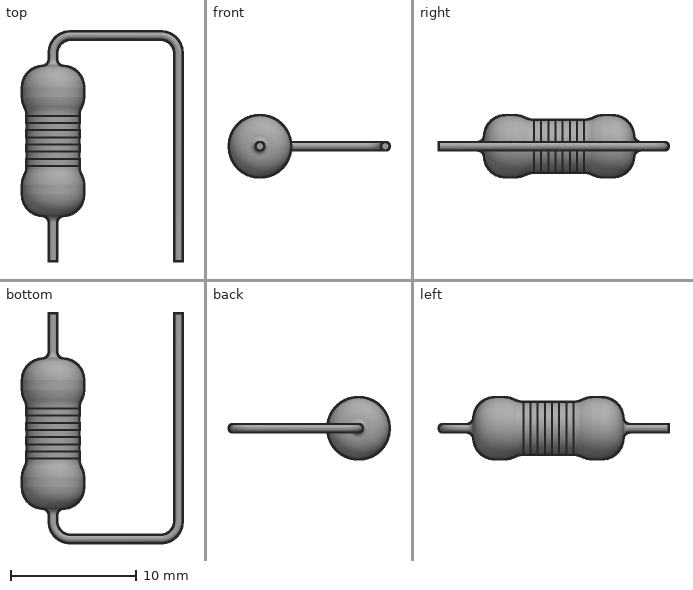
import cadquery as cq
import math


lead_diameter = 0.7
lead_radius = lead_diameter / 2
lead_pitch = 10.0
lead_tip_y = 0.0
bend_radius = 2 * lead_diameter
crossover_y = 18.0

body_length = 12.0
body_start_y = 3.6
body_mid_y = body_start_y + body_length / 2
cap_radius = 5.0 / 2
waist_radius = 4.25 / 2
end_round_radius = 1.75
lead_fillet_radius = 0.5

half_length = body_length / 2
half_waist = 2.0
half_cap_start = 3.5
half_cap_end = half_length - end_round_radius

band_count = 4
band_radius = 4.27 / 2
band_width = 2 * half_waist / (2 * band_count - 1)


def point_on_circle(center, radius, angle):
    """Point at an angle in radians, measured from the radial direction."""
    return (center[0] + radius * math.cos(angle), center[1] + radius * math.sin(angle))


def make_body_end():
    """Revolved +Y end of the body, from the waist out to the end of the lead fillet."""
    shoulder_rise = cap_radius - waist_radius
    shoulder_run = half_cap_start - half_waist
    shoulder_angle = 2 * math.atan(shoulder_rise / shoulder_run)
    shoulder_radius = shoulder_run / (2 * math.sin(shoulder_angle))
    concave_center = (waist_radius + shoulder_radius, half_waist)
    convex_center = (cap_radius - shoulder_radius, half_cap_start)
    concave_mid = point_on_circle(concave_center, shoulder_radius, math.pi - shoulder_angle / 2)
    shoulder_mid = ((waist_radius + cap_radius) / 2, (half_waist + half_cap_start) / 2)
    convex_mid = point_on_circle(convex_center, shoulder_radius, -shoulder_angle / 2)

    round_center = (cap_radius - end_round_radius, half_cap_end)
    fillet_offset = lead_radius + lead_fillet_radius - round_center[0]
    tangent_angle = math.acos(fillet_offset / (end_round_radius + lead_fillet_radius))
    round_mid = point_on_circle(round_center, end_round_radius, tangent_angle / 2)
    round_end = point_on_circle(round_center, end_round_radius, tangent_angle)
    fillet_center = point_on_circle(
        round_center, end_round_radius + lead_fillet_radius, tangent_angle
    )
    fillet_mid_angle = math.pi + tangent_angle / 2
    fillet_mid = point_on_circle(fillet_center, lead_fillet_radius, fillet_mid_angle)
    fillet_end = (lead_radius, fillet_center[1])

    return (
        cq.Workplane("XY")
        .moveTo(0, half_waist)
        .lineTo(waist_radius, half_waist)
        .threePointArc(concave_mid, shoulder_mid)
        .threePointArc(convex_mid, (cap_radius, half_cap_start))
        .lineTo(cap_radius, half_cap_end)
        .threePointArc(round_mid, round_end)
        .threePointArc(fillet_mid, fillet_end)
        .lineTo(0, fillet_end[1])
        .close()
        .revolve(360, (0, 0, 0), (0, 1, 0))
    )


def make_cylinder(radius, start_y, length):
    """Cylinder on the body axis, growing toward +Y."""
    return cq.Workplane("XZ", origin=(0, start_y, 0)).circle(radius).extrude(-length)


def make_body():
    """Dog-bone body with its raised colour bands."""
    waist_start_y = body_mid_y - half_waist
    body = make_cylinder(waist_radius, waist_start_y, 2 * half_waist)
    body_end = make_body_end()
    for end in (body_end, body_end.mirror("XZ")):
        body = body.union(end.translate((0, body_mid_y, 0)))
    for index in range(band_count):
        band_y = waist_start_y + 2 * index * band_width
        body = body.union(make_cylinder(band_radius, band_y, band_width))
    return body


def make_bent_lead():
    """Lead leaving the +Y end, crossing over along X and returning to the tip level."""
    bend_y = crossover_y - bend_radius
    bend_shift = bend_radius * (1 - math.sqrt(0.5))
    bend_mid_y = crossover_y - bend_shift
    path = (
        cq.Workplane("XY")
        .moveTo(0, body_mid_y)
        .lineTo(0, bend_y)
        .threePointArc((bend_shift, bend_mid_y), (bend_radius, crossover_y))
        .lineTo(lead_pitch - bend_radius, crossover_y)
        .threePointArc((lead_pitch - bend_shift, bend_mid_y), (lead_pitch, bend_y))
        .lineTo(lead_pitch, lead_tip_y)
    )
    return cq.Workplane("XZ", origin=(0, body_mid_y, 0)).circle(lead_radius).sweep(path)


straight_lead = make_cylinder(lead_radius, lead_tip_y, body_mid_y - lead_tip_y)
result = make_body().union(straight_lead).union(make_bent_lead())